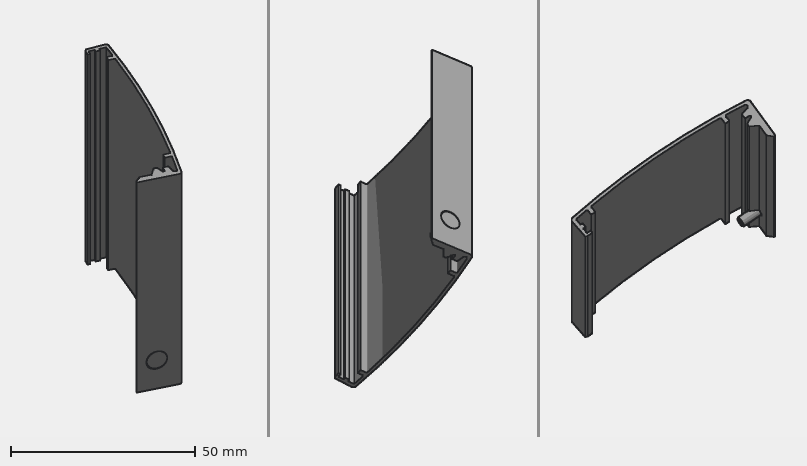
import cadquery as cq
import math

LENGTH = 73.0
HALF_WIDTH = 29.9
CROWN_Y = 15.0
CROWN_X = -0.45
CROWN_RADIUS = 224.1
PANEL_THICKNESS = 1.0
INNER_RADIUS = CROWN_RADIUS - PANEL_THICKNESS
CROWN_CENTRE_Y = CROWN_Y - CROWN_RADIUS
CORNER_RADIUS = 0.95
FACE_BREAK_Y = 12.0

LEFT_INNER_X = -28.6
LEFT_FOOT_X = -29.65
LEFT_FOOT_Y = 6.35
FOOT_BEVEL_X = 0.6
FOOT_BEVEL_Y = 0.3
FOOT_TOP_Y = 7.15
FOOT_END_X = -27.4
TAB_END_X = -27.9
TAB_BOTTOM_Y = 8.8
TAB_TOP_Y = 10.2

RIGHT_TIP_X = 29.5
LIP_INNER_X = 27.5
JAW_ROOT_X = 27.7
LIP_BEVEL = 1.45
JAW_UPPER_X = 25.8
JAW_UPPER_TOP_Y = 10.45
JAW_UPPER_BOTTOM_Y = 8.8
JAW_LOWER_X = 25.25
JAW_LOWER_TOP_Y = 7.2
JAW_LOWER_BOTTOM_Y = 6.35
JAW_ROOT_Y = 4.9
UPPER_GROOVE_X = 28.0
UPPER_GROOVE_LOW_Y = 10.95
UPPER_GROOVE_DEPTH = 0.45
LOWER_GROOVE_X = 27.15
LOWER_GROOVE_LOW_Y = 8.2
LOWER_GROOVE_DEPTH = 0.3

RIB_CENTRES_X = (-23.9, 21.25)
RIB_WIDTH = 1.4
RIB_END_Y = 10.8
RIB_ROOT_FILLET = 0.4

SCREW_Y = 5.6
SCREW_Z = 10.0
SCREW_LENGTH = 8.1
SCREW_FACE_X = 29.8
SHANK_DIAMETER = 3.0
HEAD_DIAMETER = 6.0
TIP_CHAMFER = 0.3
HOLE_DIAMETER = 3.4
SINK_OVERRUN = 0.7


def arch_y(x, radius):
    """Y of an arch of the given radius about the crown centre."""
    return CROWN_CENTRE_Y + math.sqrt(radius**2 - (x - CROWN_X)**2)


def make_shell():
    left_edge_y = arch_y(-HALF_WIDTH, CROWN_RADIUS)
    right_edge_y = arch_y(HALF_WIDTH, CROWN_RADIUS)
    groove_top_y = arch_y(UPPER_GROOVE_X, INNER_RADIUS)
    upper_groove_mid_y = (groove_top_y + UPPER_GROOVE_LOW_Y) / 2
    lower_groove_mid_y = (JAW_UPPER_BOTTOM_Y + LOWER_GROOVE_LOW_Y) / 2
    return (
        cq.Workplane("XY")
        .moveTo(-HALF_WIDTH, left_edge_y)
        .threePointArc((CROWN_X, CROWN_Y), (HALF_WIDTH, right_edge_y))
        .lineTo(HALF_WIDTH, FACE_BREAK_Y)
        .lineTo(RIGHT_TIP_X, 0)
        .lineTo(LIP_INNER_X + LIP_BEVEL, 0)
        .lineTo(LIP_INNER_X, LIP_BEVEL)
        .lineTo(JAW_ROOT_X, JAW_ROOT_Y)
        .lineTo(JAW_LOWER_X, JAW_LOWER_BOTTOM_Y)
        .lineTo(JAW_LOWER_X, JAW_LOWER_TOP_Y)
        .lineTo(LOWER_GROOVE_X, LOWER_GROOVE_LOW_Y)
        .threePointArc(
            (LOWER_GROOVE_X + LOWER_GROOVE_DEPTH, lower_groove_mid_y),
            (LOWER_GROOVE_X, JAW_UPPER_BOTTOM_Y),
        )
        .lineTo(JAW_UPPER_X, JAW_UPPER_BOTTOM_Y)
        .lineTo(JAW_UPPER_X, JAW_UPPER_TOP_Y)
        .lineTo(UPPER_GROOVE_X, UPPER_GROOVE_LOW_Y)
        .threePointArc(
            (UPPER_GROOVE_X + UPPER_GROOVE_DEPTH, upper_groove_mid_y),
            (UPPER_GROOVE_X, groove_top_y),
        )
        .threePointArc(
            (CROWN_X, CROWN_Y - PANEL_THICKNESS),
            (LEFT_INNER_X, arch_y(LEFT_INNER_X, INNER_RADIUS)),
        )
        .lineTo(LEFT_INNER_X, TAB_TOP_Y)
        .lineTo(TAB_END_X, TAB_TOP_Y)
        .lineTo(TAB_END_X, TAB_BOTTOM_Y)
        .lineTo(LEFT_INNER_X, TAB_BOTTOM_Y)
        .lineTo(LEFT_INNER_X, FOOT_TOP_Y)
        .lineTo(FOOT_END_X, FOOT_TOP_Y)
        .lineTo(FOOT_END_X, LEFT_FOOT_Y)
        .lineTo(LEFT_FOOT_X + FOOT_BEVEL_X, LEFT_FOOT_Y)
        .lineTo(LEFT_FOOT_X, LEFT_FOOT_Y + FOOT_BEVEL_Y)
        .lineTo(-HALF_WIDTH, FACE_BREAK_Y)
        .close()
        .extrude(LENGTH)
        .edges(cq.selectors.BoxSelector(
            (-HALF_WIDTH - CORNER_RADIUS, FACE_BREAK_Y + CORNER_RADIUS / 2, 0),
            (HALF_WIDTH + CORNER_RADIUS, CROWN_Y, LENGTH),
        ))
        .edges("|Z")
        .fillet(CORNER_RADIUS)
    )


def make_rib(centre_x):
    """Rib whose top is buried at mid-thickness of the panel."""
    top_y = arch_y(centre_x, CROWN_RADIUS - PANEL_THICKNESS / 2)
    return (
        cq.Workplane("XY")
        .center(centre_x, (top_y + RIB_END_Y) / 2)
        .rect(RIB_WIDTH, top_y - RIB_END_Y)
        .extrude(LENGTH)
    )


def fillet_rib_roots(body, centre_x):
    root_y = arch_y(centre_x, INNER_RADIUS)
    roots = cq.selectors.BoxSelector(
        (centre_x - RIB_WIDTH, root_y - RIB_WIDTH / 2, 0),
        (centre_x + RIB_WIDTH, root_y + RIB_WIDTH / 2, LENGTH),
    )
    return body.edges("|Z").edges(roots).fillet(RIB_ROOT_FILLET)


def revolve_about_screw_axis(half_section):
    """Turn (x, radius) points, x being absolute, around the screw axis."""
    return (
        cq.Workplane("XY", origin=(0, SCREW_Y, SCREW_Z))
        .polyline(half_section)
        .close()
        .revolve(360, (0, 0), (1, 0))
    )


def make_screw():
    shank_radius = SHANK_DIAMETER / 2
    head_radius = HEAD_DIAMETER / 2
    tip_x = SCREW_FACE_X - SCREW_LENGTH
    head_start_x = SCREW_FACE_X - (head_radius - shank_radius)
    return revolve_about_screw_axis([
        (tip_x, 0),
        (tip_x, shank_radius - TIP_CHAMFER),
        (tip_x + TIP_CHAMFER, shank_radius),
        (head_start_x, shank_radius),
        (SCREW_FACE_X, head_radius),
        (SCREW_FACE_X, 0),
    ])


def make_screw_hole():
    """Clearance hole with a 90 degree countersink that seats the head."""
    hole_radius = HOLE_DIAMETER / 2
    head_radius = HEAD_DIAMETER / 2
    sink_start_x = SCREW_FACE_X - (head_radius - hole_radius)
    sink_end_x = SCREW_FACE_X + SINK_OVERRUN
    start_x = SCREW_FACE_X - SCREW_LENGTH
    return revolve_about_screw_axis([
        (start_x, 0),
        (start_x, hole_radius),
        (sink_start_x, hole_radius),
        (sink_end_x, head_radius + SINK_OVERRUN),
        (sink_end_x, 0),
    ])


cover = make_shell()
for rib_x in RIB_CENTRES_X:
    cover = cover.union(make_rib(rib_x))
    cover = fillet_rib_roots(cover, rib_x)
cover = cover.cut(make_screw_hole())

screw = make_screw()

result = cq.Compound.makeCompound([cover.val(), screw.val()])